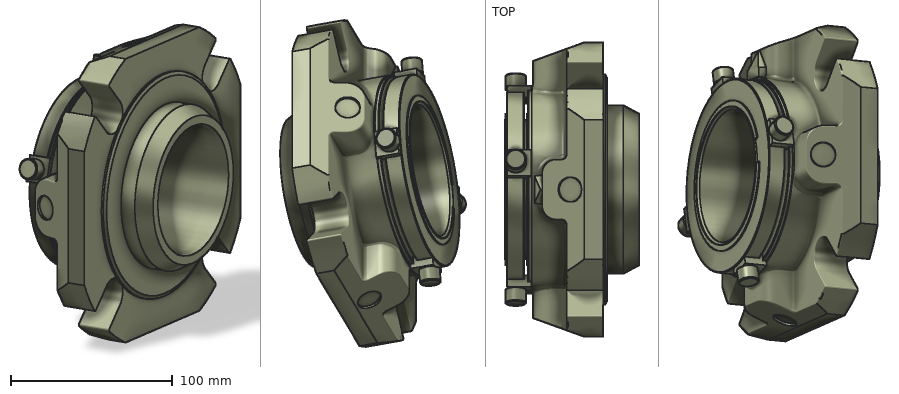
import cadquery as cq
import math


tolerance = 0.02

snap_ring_x = 0.5
drive_ring_x = 1.3
lug_x = 1.8
drive_ring_end_x = 12.2
sleeve_collar_x = 13.8
gland_x = 14.4
hub_x = 17.0
boss_x = 17.5
label_boss_x = 23.3
plate_x = 38.5
taper_end_x = 49.4
plate_back_x = 61.0
pilot_chamfer_x = 62.3
pilot_end_x = 63.4
sleeve_cone_x = 73.4
sleeve_end_x = 83.5

bore_dia = 82.5
bore_mouth_dia = 85.8
sleeve_dia = 86.3
sleeve_collar_dia = 93.6
sleeve_tail_dia = 104.4
sleeve_tail_tip_dia = 93.6

snap_ring_dia = 93.6
snap_gap_start = 160
snap_gap_end = 180

copy_count = 4

drive_ring_dia = 120.5
drive_ring_chamfer = 0.5
screw_angle = 75
lug_width = 16.5
lug_inner = 57.0
lug_outer = 64.3
lug_overhang_inner = 61.2
lug_end_x = 16.5
screw_dia = 13.0
screw_x = 7.0
screw_top = 73.0
screw_chamfer = 0.7

plate_size = 182.1
plate_corner_dia = 201.5
taper_angle = 20
slot_width = 22.2
slot_center = 81.4
slot_angle = 45
pilot_dia = 142.6
pilot_face_dia = 138.0
edge_round = 1.0
tip_round = 1.1
gland_ring_dia = 122.2
gland_ring_chamfer = 0.5
hub_dia = 124.4
hub_root_radius = 3.1

boss_width = 37.2
boss_corner_radius = 11.3
label_corner_radius = 8.4
boss_root_radius = 3.3
boss_start = 45.5
port_dia = 15.3
port_depth = 1.6
side_port_x = 27.5
upright_port_x = 40.5

arrow_width = 18.2
arrow_bottom = 62
arrow_shoulder = 68.8
arrow_top = 81.2
arrow_front_x = 18.5
arrow_tip_x = 22.4
arrow_draft = 10


def taper_height(x):
    """Distance from the axis to the tapered sides at a station along X."""
    return plate_size / 2 - (taper_end_x - x) * math.tan(math.radians(taper_angle))


def disc(dia, start_x, end_x):
    return cq.Workplane("YZ").workplane(offset=start_x).circle(dia / 2).extrude(end_x - start_x)


def around_axis(shape, first_angle=0):
    """Four copies of a shape, evenly spaced about X."""
    copies = cq.Workplane("YZ")
    for index in range(copy_count):
        angle = first_angle + index * 360 / copy_count
        copies = copies.add(shape.rotate((0, 0, 0), (1, 0, 0), angle))
    return copies.combine()


def boss(front_x, corner_radius):
    """Upright boss on the +Z side, with concave flares where it meets the plate."""
    half = boss_width / 2
    flare = boss_root_radius
    return (
        cq.Workplane("XY").workplane(offset=boss_start)
        .moveTo(plate_back_x, half + flare)
        .lineTo(plate_x, half + flare)
        .radiusArc((plate_x - flare, half), flare)
        .lineTo(front_x + corner_radius, half)
        .tangentArcPoint((front_x, half - corner_radius), relative=False)
        .lineTo(front_x, corner_radius - half)
        .tangentArcPoint((front_x + corner_radius, -half), relative=False)
        .lineTo(plate_x - flare, -half)
        .radiusArc((plate_x, -half - flare), flare)
        .lineTo(plate_back_x, -half - flare)
        .close()
        .extrude(plate_size / 2 - boss_start)
    )


def gland_plate():
    """Square plate with tapered sides, rounded corners, bosses and bolt slots."""
    plate = disc(plate_corner_dia, plate_x, plate_back_x)
    plain_boss = boss(boss_x, boss_corner_radius)
    for angle in (90, 180, 270):
        plate = plate.union(plain_boss.rotate((0, 0, 0), (1, 0, 0), angle))
    plate = plate.union(boss(label_boss_x, label_corner_radius))

    half = plate_size / 2
    profile = cq.Workplane("XZ").polyline([
        (plate_back_x, half),
        (taper_end_x, half),
        (boss_x, taper_height(boss_x)),
        (boss_x, -taper_height(boss_x)),
        (taper_end_x, -half),
        (plate_back_x, -half),
    ]).close().extrude(half, both=True)
    envelope = profile.intersect(profile.rotate((0, 0, 0), (1, 0, 0), 90))
    plate = plate.intersect(envelope)

    slot = (
        cq.Workplane("YZ").workplane(offset=plate_x)
        .center(slot_center, 0)
        .circle(slot_width / 2)
        .extrude(plate_back_x - plate_x)
    )
    mouth = (
        cq.Workplane("YZ").workplane(offset=plate_x)
        .center(slot_center + slot_width / 2, 0)
        .rect(slot_width, slot_width)
        .extrude(plate_back_x - plate_x)
    )
    return plate.cut(around_axis(slot.union(mouth), slot_angle))


def slot_tips(plate):
    """Sharp edges where the slot sides run out at the rounded plate corners."""
    tips = []
    for edge in plate.edges("|X").vals():
        middle = edge.positionAt(0.5)
        radius = math.hypot(middle.y, middle.z)
        near_diagonal = min(abs(middle.y), abs(middle.z)) > plate_corner_dia / 4
        if near_diagonal and abs(radius - plate_corner_dia / 2) < tolerance:
            tips.append(edge)
    return tips


def front_rim(plate):
    """Edges around the front face of the plate and the outer ends of the bosses."""
    rim = []
    for edge in plate.edges().vals():
        middle = edge.positionAt(0.5)
        box = edge.BoundingBox()
        on_front = abs(box.xmin - plate_x) < tolerance and box.xlen < tolerance
        on_taper = abs(max(abs(middle.y), abs(middle.z)) - taper_height(middle.x)) < tolerance
        radius = math.hypot(middle.y, middle.z)
        boss_foot = on_front and min(abs(middle.y), abs(middle.z)) < boss_width / 2 + 2 * boss_root_radius
        boss_end = on_taper and middle.x < plate_x - tolerance
        if boss_end or (on_front and (on_taper or not boss_foot) and radius > hub_dia / 2):
            rim.append(edge)
    return rim


def port(port_x):
    """Shallow round recess square to the tapered +Z side."""
    tilt = math.radians(taper_angle)
    outward = cq.Vector(-math.sin(tilt), 0, math.cos(tilt))
    mouth = cq.Vector(port_x, 0, taper_height(port_x))
    top = mouth + outward * port_depth
    return cq.Workplane(cq.Solid.makeCylinder(port_dia / 2, 2 * port_depth, top, outward * -1))


def hub_root(body):
    """Edges where the hub meets the plate and the bosses."""
    root = []
    samples = (0, 0.3, 0.7, 1)
    for edge in body.edges().vals():
        points = [edge.positionAt(fraction) for fraction in samples]
        on_hub = all(abs(math.hypot(point.y, point.z) - hub_dia / 2) < tolerance for point in points)
        middle_x = edge.positionAt(0.5).x
        if on_hub and boss_x - tolerance < middle_x < plate_x + tolerance:
            root.append(edge)
    return root


def label_arrow():
    """Pentagonal pointer on the upper boss, its front face leaning back to the tip."""
    half = arrow_width / 2
    pentagon = (
        cq.Workplane("YZ").workplane(offset=label_boss_x)
        .polyline([
            (-half, arrow_bottom),
            (half, arrow_bottom),
            (half, arrow_shoulder),
            (0, arrow_top),
            (-half, arrow_shoulder),
        ])
        .close()
        .extrude(arrow_front_x - label_boss_x, taper=arrow_draft)
    )
    side = (
        cq.Workplane("XZ")
        .polyline([
            (label_boss_x, arrow_bottom),
            (arrow_front_x, arrow_bottom),
            (arrow_front_x, arrow_shoulder),
            (arrow_tip_x, arrow_top),
            (label_boss_x, arrow_top),
        ])
        .close()
        .extrude(arrow_width, both=True)
    )
    return pentagon.intersect(side)


def gland():
    """Plate and hub with rounded edges, the gland ring in front and the pilot behind."""
    plate = gland_plate()
    plate = plate.newObject(slot_tips(plate)).fillet(tip_round)
    plate = plate.newObject(front_rim(plate)).fillet(edge_round)
    body = plate.union(disc(hub_dia, gland_x - 2 * hub_root_radius, plate_back_x))
    body = body.newObject(hub_root(body)).fillet(hub_root_radius)
    body = body.intersect(disc(2 * plate_size, hub_x, plate_back_x))

    ring = disc(gland_ring_dia, gland_x, hub_x).faces("<X").chamfer(gland_ring_chamfer)
    pilot = disc(pilot_dia, plate_back_x, pilot_end_x)
    pilot = pilot.faces(">X").chamfer(pilot_end_x - pilot_chamfer_x, (pilot_dia - pilot_face_dia) / 2)
    body = body.union(ring).union(pilot).union(label_arrow())
    for port_x, angle in (
        (upright_port_x, 0),
        (side_port_x, 90),
        (upright_port_x, 180),
        (side_port_x, 270),
    ):
        body = body.cut(port(port_x).rotate((0, 0, 0), (1, 0, 0), angle))
    return body


def drive_ring():
    """Ring around the sleeve carrying four lugs, each with a radial set screw."""
    ring = disc(drive_ring_dia, drive_ring_x, drive_ring_end_x).edges().chamfer(drive_ring_chamfer)
    lug = (
        cq.Workplane("XZ")
        .polyline([
            (lug_x, lug_inner),
            (gland_x, lug_inner),
            (gland_x, lug_overhang_inner),
            (lug_end_x, lug_overhang_inner),
            (lug_end_x, lug_outer),
            (lug_x, lug_outer),
        ])
        .close()
        .extrude(lug_width / 2, both=True)
    )
    screw = (
        cq.Workplane("XY").workplane(offset=lug_outer)
        .center(screw_x, 0)
        .circle(screw_dia / 2)
        .extrude(screw_top - lug_outer)
        .faces(">Z").chamfer(screw_chamfer)
    )
    return ring.union(around_axis(lug.union(screw), screw_angle))


def sleeve():
    """Turned sleeve, with its tapered tail behind the gland."""
    outline = [
        (0, 0),
        (0, sleeve_dia / 2),
        (sleeve_collar_x, sleeve_dia / 2),
        (sleeve_collar_x, sleeve_collar_dia / 2),
        (gland_x, sleeve_collar_dia / 2),
        (gland_x, sleeve_tail_dia / 2),
        (sleeve_cone_x, sleeve_tail_dia / 2),
        (sleeve_end_x, sleeve_tail_tip_dia / 2),
        (sleeve_end_x, 0),
    ]
    return cq.Workplane("XY").polyline(outline).close().revolve(360, (0, 0, 0), (1, 0, 0))


def snap_ring():
    """Retaining ring in front of the drive ring, with a radial-sided opening."""
    reach = snap_ring_dia
    start = math.radians(snap_gap_start)
    end = math.radians(snap_gap_end)
    opening = (
        cq.Workplane("YZ").workplane(offset=snap_ring_x)
        .polyline([
            (0, 0),
            (reach * math.cos(start), reach * math.sin(start)),
            (reach * math.cos(end), reach * math.sin(end)),
        ])
        .close()
        .extrude(drive_ring_x - snap_ring_x)
    )
    return disc(snap_ring_dia, snap_ring_x, drive_ring_x).cut(opening)


def bore():
    """Through bore with a chamfered mouth at the front."""
    depth = (bore_mouth_dia - bore_dia) / 2
    outline = [
        (0, 0),
        (0, bore_mouth_dia / 2),
        (depth, bore_dia / 2),
        (sleeve_end_x, bore_dia / 2),
        (sleeve_end_x, 0),
    ]
    return cq.Workplane("XY").polyline(outline).close().revolve(360, (0, 0, 0), (1, 0, 0))


result = gland().union(drive_ring()).union(sleeve()).union(snap_ring()).cut(bore())